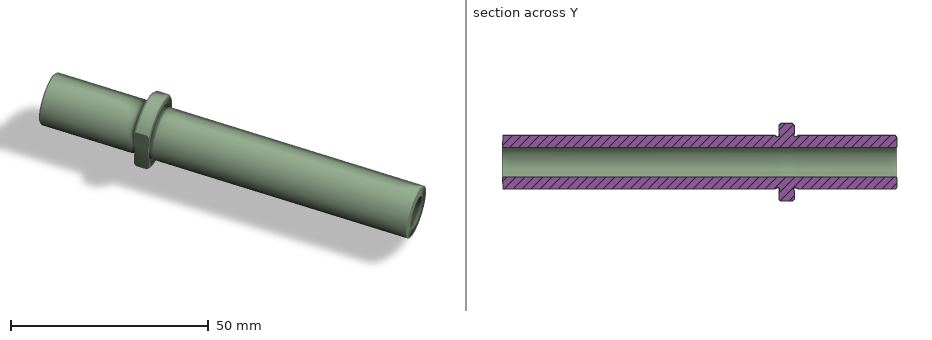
import cadquery as cq
import math

length = 100.0
tube_radius = 14.0 / 2
bore_radius = 8.0 / 2
short_end_chamfer = 0.5
bore_chamfer = 0.3
long_end_crown = 0.15

collar_start = 26.0
collar_width = 4.0
collar_end = collar_start + collar_width
collar_radius = 20.0 / 2
collar_chamfer = 0.5
flat_distance = tube_radius

undercut_radius = 13.3 / 2
undercut_length = 1.0
undercut_ramp_angle = 30.0
undercut_corner_radius = 0.4
undercut_face_depth = 0.2
undercut_face_radius = 7.45


def make_tube():
    """Revolved half section of the tube wall, including the end and bore chamfers."""
    bore_rim_radius = bore_radius + bore_chamfer
    half_section = [
        (bore_chamfer, bore_radius),
        (0, bore_rim_radius),
        (0, tube_radius - short_end_chamfer),
        (short_end_chamfer, tube_radius),
        (length - long_end_crown, tube_radius),
        (length, bore_rim_radius),
        (length - bore_chamfer, bore_radius),
    ]
    return cq.Workplane("XY").polyline(half_section).close().revolve(360, (0, 0, 0), (1, 0, 0))


def make_collar():
    """Chamfered ring around the tube, cut by the flat."""
    disc = (
        cq.Workplane("YZ", origin=(collar_start, 0, 0))
        .circle(collar_radius)
        .extrude(collar_width)
        .edges()
        .chamfer(collar_chamfer)
    )
    beyond_flat = (
        cq.Workplane("XY", origin=(collar_start, -flat_distance, 0))
        .rect(collar_width, -collar_radius, centered=False)
        .extrude(collar_radius, both=True)
    )
    hole_radius = (bore_radius + undercut_radius) / 2
    hole = cq.Workplane("YZ", origin=(collar_start, 0, 0)).circle(hole_radius).extrude(collar_width)
    return disc.cut(beyond_flat).cut(hole)


def make_undercut(face_x, away):
    """Ring cutter at a collar face; away is the X direction pointing off the collar."""
    ramp_length = (tube_radius - undercut_radius) / math.tan(math.radians(undercut_ramp_angle))
    groove_end = face_x + away * undercut_length
    deepest_x = face_x - away * undercut_face_depth
    corner_center_x = deepest_x + away * undercut_corner_radius
    corner_center_radius = undercut_radius + undercut_corner_radius
    corner_reach = undercut_corner_radius * math.sqrt(0.5)
    return (
        cq.Workplane("XY")
        .moveTo(groove_end, tube_radius)
        .lineTo(groove_end - away * ramp_length, undercut_radius)
        .lineTo(corner_center_x, undercut_radius)
        .threePointArc(
            (corner_center_x - away * corner_reach, corner_center_radius - corner_reach),
            (deepest_x, corner_center_radius),
        )
        .lineTo(face_x, undercut_face_radius)
        .lineTo(face_x, tube_radius)
        .close()
        .revolve(360, (0, 0, 0), (1, 0, 0))
    )


result = make_tube().union(make_collar())
for face_x, away in ((collar_start, -1), (collar_end, 1)):
    result = result.cut(make_undercut(face_x, away))